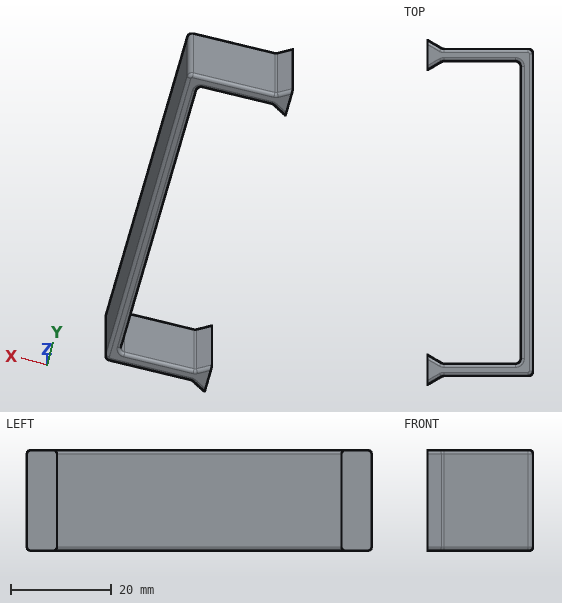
import cadquery as cq

depth = 21.0
height = 20.0
outer_width = 65.0
wall = 2.5
foot_width = 6.0
foot_length = 3.0
corner_radius = 1.0
rim_radius = 0.75

arm_outer = outer_width / 2
arm_inner = arm_outer - wall
flare = (foot_width - wall) / 2
foot_outer = arm_outer + flare
foot_inner = arm_inner - flare
web_inner = depth - wall


def bracket_blank():
    """Sharp-edged U bracket with flared feet, centred on Y and Z, foot faces at X = 0."""
    half_outline = [
        (web_inner, arm_inner),
        (foot_length, arm_inner),
        (0, foot_inner),
        (0, foot_outer),
        (foot_length, arm_outer),
        (depth, arm_outer),
    ]
    mirrored_half = [(x, -y) for x, y in reversed(half_outline)]
    return (
        cq.Workplane("XY")
        .polyline(half_outline + mirrored_half)
        .close()
        .extrude(height / 2, both=True)
    )


def round_uprights(body):
    """Round the web corners and the foot roots on both arms."""
    corners = [
        (web_inner, arm_inner),
        (depth, arm_outer),
        (foot_length, arm_inner),
        (foot_length, arm_outer),
    ]
    edges = []
    for x, y in corners:
        for side in (-1, 1):
            nearest = cq.selectors.NearestToPointSelector((x, side * y, 0))
            edges.append(body.edges("|Z").edges(nearest).val())
    return body.newObject(edges).fillet(corner_radius)


def round_rims(body):
    """Round the top and bottom rims, except along the flat foot faces."""
    return body.faces("|Z").edges("not <X").fillet(rim_radius)


result = round_rims(round_uprights(bracket_blank()))